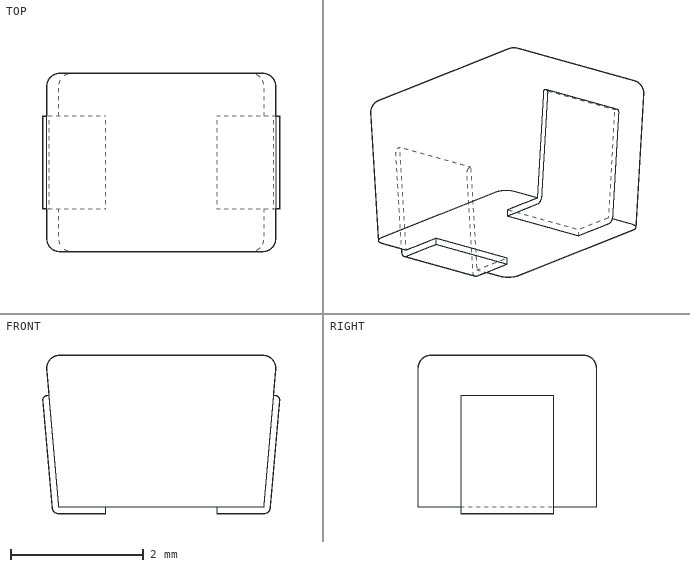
import cadquery as cq
import math

total_height = 2.4
body_depth = 2.7
body_base_length = 3.1
end_lean = math.radians(5)
body_round = 0.2

terminal_thickness = 0.1
terminal_width = 1.4
terminal_height = 1.79
foot_gap = 1.68
bend_radius = 0.1
tip_round = 0.07

body_bottom = terminal_thickness


def end_x(z, offset=0.0):
    """X of the leaning +X end face at height z, moved outwards by offset along its normal."""
    lean_shift = (z - body_bottom) * math.tan(end_lean)
    return body_base_length / 2 + lean_shift + offset / math.cos(end_lean)


def make_body():
    top_x = end_x(total_height)
    bottom_x = end_x(body_bottom)
    block = (
        cq.Workplane("XZ")
        .moveTo(-bottom_x, body_bottom)
        .lineTo(bottom_x, body_bottom)
        .lineTo(top_x, total_height)
        .lineTo(-top_x, total_height)
        .close()
        .extrude(body_depth / 2, both=True)
    )
    top_edges = block.faces(">Z").edges()
    corner_edges = block.edges("not(#Z)")
    return top_edges.add(corner_edges).fillet(body_round)


def make_terminal():
    """Terminal on the +X end: a foot under the body and a leg up the leaning end."""
    foot_end = foot_gap / 2
    terminal = (
        cq.Workplane("XZ")
        .moveTo(foot_end, 0)
        .lineTo(end_x(0, terminal_thickness), 0)
        .lineTo(end_x(terminal_height, terminal_thickness), terminal_height)
        .lineTo(end_x(terminal_height), terminal_height)
        .lineTo(end_x(body_bottom), body_bottom)
        .lineTo(foot_end, body_bottom)
        .close()
        .extrude(terminal_width / 2, both=True)
    )
    terminal = terminal.faces("<Z").edges(">X").fillet(bend_radius)
    return terminal.faces(">Z").edges(">X").fillet(tip_round)


right_terminal = make_terminal()
left_terminal = right_terminal.mirror("YZ")
result = make_body().union(right_terminal).union(left_terminal)